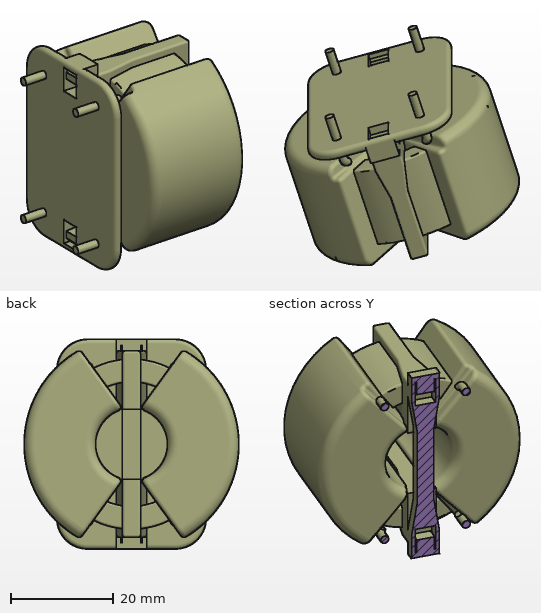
import cadquery as cq
import math


plate_width = 29.2
plate_height = 41.0
plate_thickness = 1.97
plate_corner = 6.1
plate_edge_round = 0.9

winding_front = 4.6
winding_back = 27.35
winding_radius = 21.0
bore_radius = 7.0
winding_round = 2.0
core_front = 7.65
core_back = 24.4
core_radius = 16.6
core_bore = 12.15
core_round = 0.4

gap_angle = math.radians(36.0)
gap_apex = 4.6
notch_angle = math.radians(42.0)
notch_back = 7.15
notch_round = 0.65
gap_round = 0.8

tolerance = 0.02

rib_half_width = 1.75
rib_foot_half_width = 2.95
rib_taper_start = 7.8
rib_taper_end = 14.0
rib_back = 28.0
rib_inner = 6.85
rib_outer = 18.2
rib_round = 0.5

waist_half_length = 7.97
flare_end = 15.1

window_width = 4.1
window_inner = 14.05
window_outer = 19.2
hook_width = 3.7
hook_front = 0.5
hook_inner = 16.25
hook_nose_inner = 16.6
hook_nose_outer = 18.13

pin_diameter = 1.7
pin_x = 8.48
pin_z = 15.02
pin_tip = -5.0
pin_bend = 1.0
pin_top = 6.5


def section_at(y):
    """Workplane across the coil axis at the given Y."""
    return cq.Workplane("XZ", origin=(0, y, 0))


def slab(points, y_start, y_end):
    """Prism of an X-Z outline between two Y positions."""
    return section_at(y_start).polyline(points).close().extrude(y_start - y_end)


def ring(inner, outer, y_start, y_end, edge_round):
    """Ring about the Y axis with all its rims rounded."""
    body = section_at(y_start).circle(outer).circle(inner).extrude(y_start - y_end)
    return body.edges("%CIRCLE").fillet(edge_round)


def both_ends(upper):
    """A feature at +Z together with its mirror image at -Z."""
    return upper.union(upper.mirror("XY"))


def make_plate():
    """Rounded rectangular plate with its front face at Y = 0."""
    plate = section_at(0).rect(plate_width, plate_height).extrude(-plate_thickness)
    return plate.edges("|Y").fillet(plate_corner).faces("<Y or >Y").edges().fillet(plate_edge_round)


def gap_half(angle, y_end):
    """Right half of the upper gap, its wall leaning away from Z by the given angle."""
    top = winding_radius + gap_round
    outline = [
        (-gap_round, 0),
        (-gap_round, top),
        ((top - gap_apex) * math.tan(angle), top),
        (0, gap_apex),
        (0, 0),
    ]
    return slab(outline, winding_front, y_end)


def gap_walls(body):
    """The flat faces of a quarter that lean over the gap."""
    return [f for f in body.faces("%PLANE").vals() if f.normalAt().x < -tolerance]


def reaches_front(face):
    """True for the notch wall, the only gap wall that starts at the winding's front."""
    return face.BoundingBox().ymin < winding_front + tolerance


def lies_at(edge, y):
    """True for an edge that lies at the given Y or behind it."""
    return edge.BoundingBox().ymin > y - tolerance


def winding_quarter():
    """Sharp quarter ring at +X and +Z."""
    body = ring(bore_radius, winding_radius, winding_front, winding_back, winding_round)
    size = 2 * winding_radius
    return body.intersect(cq.Workplane("XY").box(size, size, size, centered=False))


def notched_quarter():
    """Quarter winding whose gap wall steps back at the front to clear a lead."""
    body = winding_quarter().cut(gap_half(gap_angle, winding_back))
    body = body.cut(gap_half(notch_angle, notch_back))
    corner = [
        edge
        for wall in gap_walls(body)
        if reaches_front(wall)
        for edge in wall.Edges()
        if lies_at(edge, notch_back)
    ]
    body = body.newObject(corner).fillet(notch_round)
    rims = []
    for wall in gap_walls(body):
        wall_back = wall.BoundingBox().ymax
        for edge in wall.Edges():
            if not (reaches_front(wall) and lies_at(edge, wall_back)):
                rims.append(edge)
    return body.newObject(rims).fillet(gap_round)


def make_windings():
    """Four notched quarters, joined in pairs along the X axis."""
    right = both_ends(notched_quarter())
    return right.union(right.mirror("YZ"))


def make_core():
    """Toroidal core that shows between the windings."""
    return ring(core_bore, core_radius, core_front, core_back, core_round)


def make_rib():
    """Upper divider rib with a widened foot towards the plate."""
    outline = [
        (-rib_foot_half_width, winding_front),
        (-rib_foot_half_width, rib_taper_start),
        (-rib_half_width, rib_taper_end),
        (-rib_half_width, rib_back),
        (rib_half_width, rib_back),
        (rib_half_width, rib_taper_end),
        (rib_foot_half_width, rib_taper_start),
        (rib_foot_half_width, winding_front),
    ]
    base = cq.Workplane("XY", origin=(0, 0, rib_inner)).polyline(outline).close()
    rib = base.extrude(rib_outer - rib_inner)
    rounded = rib.faces(">Z").edges("not <Y").add(rib.faces(">Y").edges("|Z"))
    return rounded.fillet(rib_round)


def make_spacer():
    """Full-height bar that narrows to a waist at mid height."""
    end = plate_height / 2
    right_side = [
        (rib_foot_half_width, -end),
        (rib_foot_half_width, -flare_end),
        (rib_half_width, -waist_half_length),
        (rib_half_width, waist_half_length),
        (rib_foot_half_width, flare_end),
        (rib_foot_half_width, end),
    ]
    left_side = [(-x, z) for x, z in reversed(right_side)]
    return slab(right_side + left_side, plate_thickness / 2, winding_front)


def make_window():
    """Cutter for the upper snap window, through plate and spacer."""
    height = window_outer - window_inner
    window = cq.Workplane("XY").box(window_width, winding_front, height, centered=(True, False, False))
    return window.translate((0, 0, window_inner))


def make_hook():
    """Upper snap hook inside its window, with a 45 degree lead-in to the outer wall."""
    slope_back = hook_front + window_outer - hook_nose_outer
    profile = [
        (winding_front, hook_inner),
        (hook_front, hook_nose_inner),
        (hook_front, hook_nose_outer),
        (slope_back, window_outer),
        (winding_front, window_outer),
    ]
    return cq.Workplane("YZ").polyline(profile).close().extrude(hook_width / 2, both=True)


def make_pin(side):
    """Upper pin on one side, its inner end bent towards the coil axis."""
    reach = math.hypot(pin_x, pin_z)
    bend_start = pin_top - pin_diameter / 2 - pin_bend

    def inward(distance, y):
        scale = 1 - distance / reach
        return cq.Vector(side * pin_x * scale, y, pin_z * scale)

    half = math.sqrt(0.5)
    mid = inward(pin_bend * (1 - half), bend_start + pin_bend * half)
    start = inward(0, pin_tip)
    bend = inward(0, bend_start)
    end = inward(pin_bend, bend_start + pin_bend)
    path = cq.Wire.assembleEdges([
        cq.Edge.makeLine(start, bend),
        cq.Edge.makeThreePointArc(bend, mid, end),
    ])
    tip = section_at(pin_tip).center(start.x, start.z).circle(pin_diameter / 2)
    return tip.sweep(cq.Workplane(path))


result = (
    make_windings()
    .union(make_core())
    .union(both_ends(make_rib()))
    .union(make_plate())
    .union(make_spacer())
    .cut(both_ends(make_window()))
    .union(both_ends(make_hook()))
)
for side in (-1, 1):
    result = result.union(both_ends(make_pin(side)))